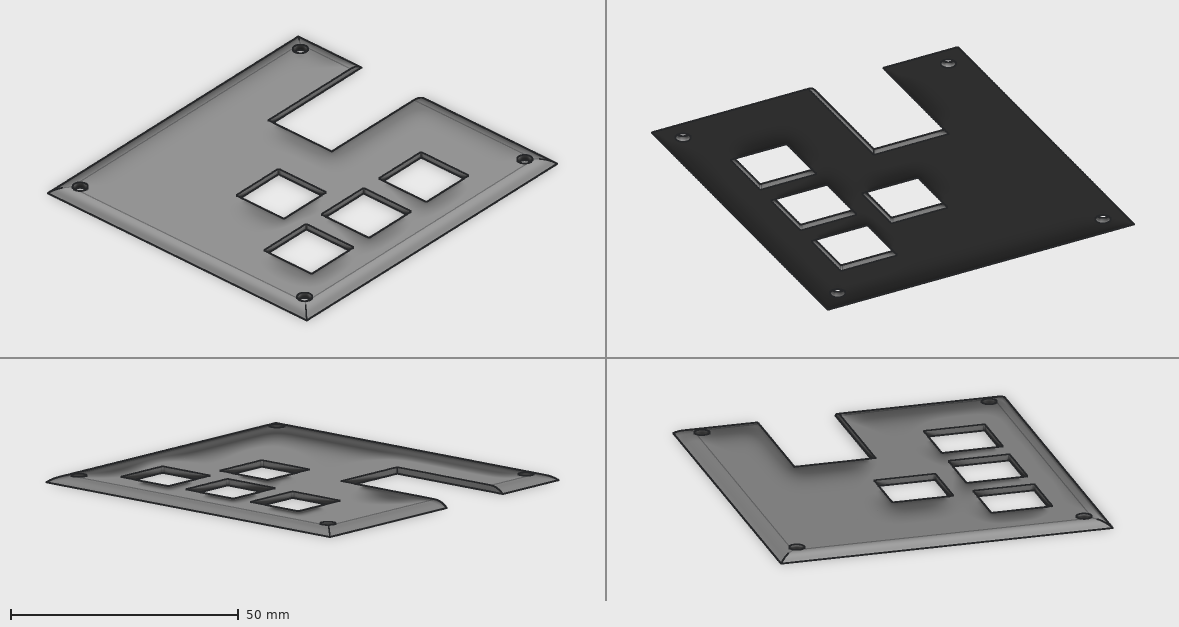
import cadquery as cq

plate_width = 76.0
plate_length = 83.0
plate_thickness = 1.5
edge_inset = 3.65

screw_diameter = 3.4
screw_spacing_x = 65.8
screw_spacing_y = 72.9

notch_width = 18.6
notch_center_x = -10.1
notch_floor_y = 10.6

key_size = 14.0
key_corner_radius = 0.3
key_pitch = 19.0
key_column_x = 21.0
key_column_middle_y = -2.6
side_key_y = -9.3

cut_height = 2 * plate_thickness


def crowned_bar(plane, span, length):
    """Bar whose two long edges curve from the flat top down to the underside."""
    half_span = span / 2
    radius = (edge_inset**2 + plate_thickness**2) / (2 * plate_thickness)
    flat_end = half_span - edge_inset
    middle_offset = edge_inset / 2
    middle_height = plate_thickness - radius + (radius**2 - middle_offset**2) ** 0.5
    return (
        cq.Workplane(plane)
        .moveTo(-half_span, 0)
        .lineTo(half_span, 0)
        .threePointArc((flat_end + middle_offset, middle_height), (flat_end, plate_thickness))
        .lineTo(-flat_end, plate_thickness)
        .threePointArc((-flat_end - middle_offset, middle_height), (-half_span, 0))
        .close()
        .extrude(length / 2, both=True)
    )


def key_opening(x, y):
    return (
        cq.Workplane("XY")
        .center(x, y)
        .rect(key_size, key_size)
        .extrude(cut_height)
        .edges("|Z")
        .fillet(key_corner_radius)
    )


plate = crowned_bar("XZ", plate_width, plate_length).intersect(
    crowned_bar("YZ", plate_length, plate_width)
)

screw_holes = (
    cq.Workplane("XY")
    .rect(screw_spacing_x, screw_spacing_y, forConstruction=True)
    .vertices()
    .circle(screw_diameter / 2)
    .extrude(cut_height)
)

notch_length = plate_length / 2 - notch_floor_y
notch = (
    cq.Workplane("XY")
    .center(notch_center_x, notch_floor_y + notch_length / 2)
    .rect(notch_width, notch_length)
    .extrude(cut_height)
)

result = plate.cut(screw_holes).cut(notch)

key_positions = [(key_column_x, key_column_middle_y + row * key_pitch) for row in (-1, 0, 1)]
key_positions.append((key_column_x - key_pitch, side_key_y))
for key_x, key_y in key_positions:
    result = result.cut(key_opening(key_x, key_y))